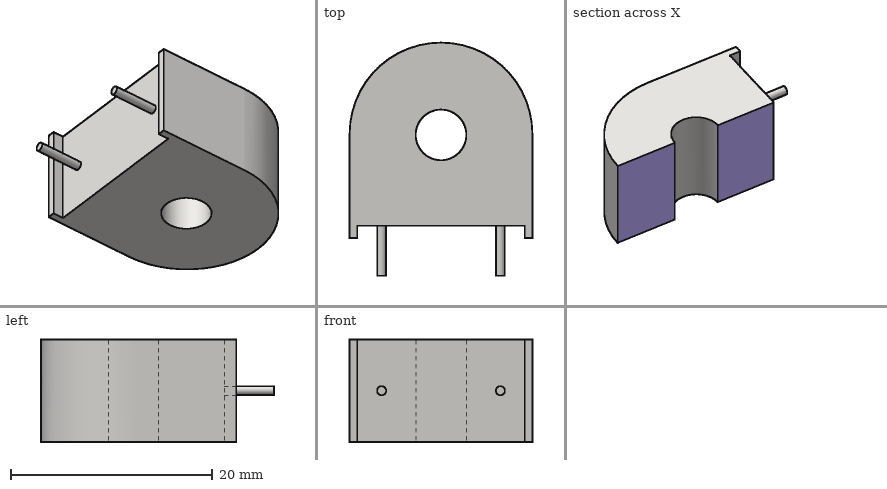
import cadquery as cq

overall_length = 23.2
width = 18.2
height = 10.2
housing_length = 19.45
lip_length = 1.2
lip_thickness = 0.8
bore_diameter = 5.0
bore_offset = 0.1
pin_diameter = 0.9
pin_spacing = 11.8

end_radius = width / 2
lip_end_y = end_radius - housing_length
pin_face_y = lip_end_y + lip_length
pin_tip_y = end_radius - overall_length
pin_length = pin_face_y - pin_tip_y


def make_housing():
    """D-shaped block with a vertical bore and a lip at each side of the pin face."""
    body = (
        cq.Workplane("XY")
        .workplane(offset=-height / 2)
        .moveTo(-end_radius, lip_end_y)
        .lineTo(-end_radius, 0)
        .threePointArc((0, end_radius), (end_radius, 0))
        .lineTo(end_radius, lip_end_y)
        .lineTo(end_radius - lip_thickness, lip_end_y)
        .lineTo(end_radius - lip_thickness, pin_face_y)
        .lineTo(-end_radius + lip_thickness, pin_face_y)
        .lineTo(-end_radius + lip_thickness, lip_end_y)
        .close()
        .extrude(height)
    )
    bore = (
        cq.Workplane("XY")
        .workplane(offset=-height / 2)
        .center(0, -bore_offset)
        .circle(bore_diameter / 2)
        .extrude(height)
    )
    return body.cut(bore)


def make_pin(x):
    """Round pin standing on the pin face and pointing toward -Y."""
    return (
        cq.Workplane("XZ", origin=(x, pin_face_y, 0))
        .circle(pin_diameter / 2)
        .extrude(pin_length)
    )


housing = make_housing()
pins = [make_pin(side * pin_spacing / 2) for side in (-1, 1)]

result = cq.Compound.makeCompound([housing.val(), *[pin.val() for pin in pins]])